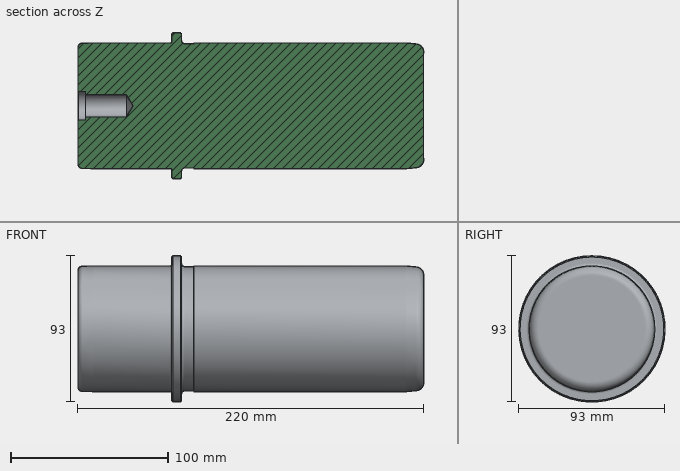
import cadquery as cq
import math

length = 220.0
flange_start = 59.6
flange_width = 6.4
groove_end = 74.0

body_radius = 40.0
flange_diameter = 93.0
flange_radius = flange_diameter / 2
groove_radius = 39.5

rear_taper_start = 10.0
rear_taper_drop = 0.1
rear_rim_length = 2.9
rear_face_radius = 36.7
front_taper_length = 11.2
front_taper_drop = 0.55
front_rim_length = 5.3
front_face_radius = 33.7

flange_edge = 0.9
rear_root_fillet = 0.9
front_root_fillet = 2.0
groove_chamfer = body_radius - groove_radius

counterbore_radius = 9.0
counterbore_chamfer = 0.5
counterbore_depth = 4.8
bore_radius = 7.0
bore_depth = 30.8
drill_tip_angle = 118.0

flange_end = flange_start + flange_width
diagonal = math.cos(math.radians(45))


def rim_middle(face_edge, side_edge):
    """Middle of the rounded rim from the end face edge to the side of the body."""
    face_x, face_radius = face_edge
    side_x, side_radius = side_edge
    return (
        side_x + (face_x - side_x) * diagonal,
        face_radius + (side_radius - face_radius) * diagonal,
    )


def make_body():
    """Revolve the outer half profile, drawn as (x, radius), about the X axis."""
    rear_face_edge = (0, rear_face_radius)
    rear_rim_end = (rear_rim_length, body_radius - rear_taper_drop)
    front_rim_start = (length - front_rim_length, body_radius - front_taper_drop)
    front_face_edge = (length, front_face_radius)
    rear_root_bulge = rear_root_fillet * (1 - diagonal)
    front_root_bulge = front_root_fillet * (1 - diagonal)
    profile = (
        cq.Workplane("XZ")
        .lineTo(*rear_face_edge)
        .threePointArc(rim_middle(rear_face_edge, rear_rim_end), rear_rim_end)
        .lineTo(rear_taper_start, body_radius)
        .lineTo(flange_start - rear_root_fillet, body_radius)
        .threePointArc(
            (flange_start - rear_root_bulge, body_radius + rear_root_bulge),
            (flange_start, body_radius + rear_root_fillet),
        )
        .lineTo(flange_start, flange_radius - flange_edge)
        .lineTo(flange_start + flange_edge, flange_radius)
        .lineTo(flange_end - flange_edge, flange_radius)
        .lineTo(flange_end, flange_radius - flange_edge)
        .lineTo(flange_end, groove_radius + front_root_fillet)
        .threePointArc(
            (flange_end + front_root_bulge, groove_radius + front_root_bulge),
            (flange_end + front_root_fillet, groove_radius),
        )
        .lineTo(groove_end - groove_chamfer, groove_radius)
        .lineTo(groove_end, body_radius)
        .lineTo(length - front_taper_length, body_radius)
        .lineTo(*front_rim_start)
        .threePointArc(rim_middle(front_face_edge, front_rim_start), front_face_edge)
        .lineTo(length, 0)
        .close()
    )
    return profile.revolve(360, (0, 0, 0), (1, 0, 0))


def make_centre_hole():
    """Revolve the counterbored blind hole with its conical drill tip."""
    tip_length = bore_radius / math.tan(math.radians(drill_tip_angle / 2))
    profile = (
        cq.Workplane("XZ")
        .lineTo(0, counterbore_radius + counterbore_chamfer)
        .lineTo(counterbore_chamfer, counterbore_radius)
        .lineTo(counterbore_depth, counterbore_radius)
        .lineTo(counterbore_depth, bore_radius)
        .lineTo(bore_depth, bore_radius)
        .lineTo(bore_depth + tip_length, 0)
        .close()
    )
    return profile.revolve(360, (0, 0, 0), (1, 0, 0))


result = make_body().cut(make_centre_hole())